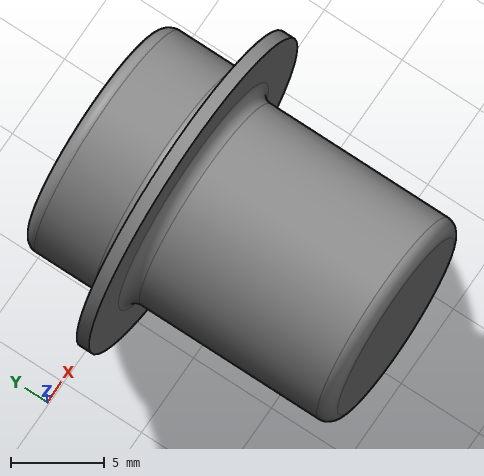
import cadquery as cq

flange_diameter = 20.0
flange_thickness = 0.8
stem_diameter = 12.8
stem_length = 13.0
hub_diameter = 14.12
hub_length = 5.5
edge_radius = 0.8


def turned_boss(diameter, start, length):
    """Cylinder along Y from `start`; a negative length runs toward -Y."""
    return cq.Workplane("XZ", origin=(0, start, 0)).circle(diameter / 2).extrude(-length)


flange = turned_boss(flange_diameter, 0, flange_thickness)
stem = turned_boss(stem_diameter, 0, -stem_length)
hub = turned_boss(hub_diameter, flange_thickness, hub_length)
body = flange.union(stem).union(hub)

circular_edges = cq.selectors.StringSyntaxSelector("%CIRCLE")
flange_rims = cq.selectors.RadiusNthSelector(-1)
result = body.edges(circular_edges - flange_rims).fillet(edge_radius)